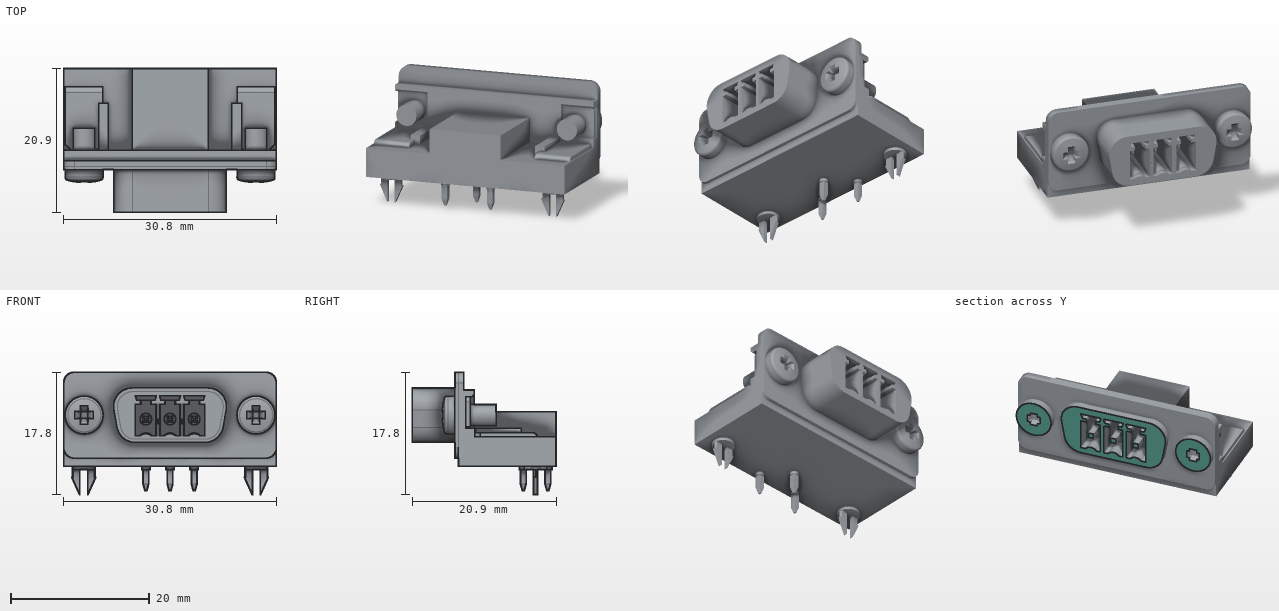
import cadquery as cq
import math


WIDTH = 30.8
HEIGHT = 13.65
OVERALL_DEPTH = 20.86
OVERALL_HEIGHT = 17.75
REAR_Y = 14.14
FLANGE_REAR_Y = 0.8
WALL_REAR_Y = 2.3
WALL_TOP = 11.1
BASE_TOP = 4.28
BLOCK_WIDTH = 11.0
BLOCK_TOP = 7.95
CORNER_RADIUS = 1.5

PLATE_THICKNESS = 0.5
PLATE_BOTTOM = 1.2

SHELL_FRONT_Y = REAR_Y - OVERALL_DEPTH
SHELL_TOP = 11.36
SHELL_BOTTOM = 3.47
SHELL_TOP_CENTRE_X = 5.5
SHELL_RADIUS = 2.68
SHELL_SLANT = math.radians(10)
SHELL_WALL = 0.5

CONTACTS = 3
PITCH = 3.5
CAVITY_REAR_Y = 1.0
CAVITY_WIDTH = 3.1
CAVITY_BOTTOM = 4.44
CAVITY_TOP = 9.0
DIVIDER_STEP = 0.12
DIVIDER_STEP_DEPTH = 0.1
NECK_MOUTH_WIDTH = 1.6
NECK_WIDTH = 1.4
DOVETAIL_REAR_Y = 0.0
DOVETAIL_BOTTOM = 9.58
DOVETAIL_TOP = 10.2
DOVETAIL_BOTTOM_WIDTH = 2.62
DOVETAIL_TOP_WIDTH = 3.05
BUMP_WIDTH = 1.7
BUMP_HEIGHT = 0.41
BUMP_FRONT_HEIGHT = 0.28
MOUTH_LENGTH = 0.8
NOTCH_DEPTH = 0.15
NOTCH_WIDTH = 0.34
NOTCH_BOTTOM = 6.16
NOTCH_TOP = 6.85
CONTACT_Z = 6.85
CONTACT_COLLAR_RADIUS = 0.83
CONTACT_COLLAR_LENGTH = 0.5
CONTACT_LENGTH = 4.5

PIN_SIZE = 0.85
PIN_TIP_SIZE = 0.3
PIN_TIP_LENGTH = 1.0
TAIL_LENGTH = 3.5
TAIL_COLLAR_RADIUS = 0.62
COLLAR_HEIGHT = 0.47
TAIL_REAR_Y = 12.95
TAIL_FRONT_Y = 9.4

SCREW_X = 12.45
SCREW_Z = 7.44
SHANK_RADIUS = 1.56
SHANK_END_Y = 5.45
HEAD_RADIUS = 2.75
HEAD_RIM_LENGTH = 1.05
HEAD_SHOULDER_RADIUS = 2.4
HEAD_SHOULDER_LENGTH = 1.55
HEAD_LENGTH = 1.9
RECESS_SPAN = 2.85
RECESS_ARM_WIDTH = 1.15
RECESS_FLOOR_SPAN = 1.0
RECESS_FLOOR_ARM_WIDTH = 0.9
RECESS_DEPTH = 1.4

POCKET_INNER_X = 10.36
POCKET_FRONT_Y = 1.08
POCKET_BOTTOM = 5.56
POCKET_TOP = 10.1
POCKET_CHAMFER = 0.3
BRACKET_THICKNESS = 0.6
BRACKET_INNER_X = 9.74
BRACKET_OUTER_X = 15.2
BRACKET_REAR_Y = 11.5
BRACKET_BEND_RADIUS = 0.8
BRACKET_CORNER = 0.85
BRACKET_TOP_CORNER = 0.7
BRACKET_LOWER_CORNER = 0.2
LIP_THICKNESS = 0.35
LIP_REAR_Y = 2.37
RIB_INNER_X = 8.95
RIB_REAR_Y = 9.13
STOP_WIDTH = 0.19
STOP_REAR_Y = 2.5

CLIP_X = 12.5
CLIP_Y = 11.17
CLIP_DISC_RADIUS = 1.65
CLIP_THICKNESS = 0.62
CLIP_SLOT = 1.1
CLIP_EDGE_BEVEL = 0.1
BARB_TOP_Z = -1.58
BARB_HALF_WIDTH = 1.74
CLIP_TIP_WIDTH = 0.06
CLIP_END_Z = HEIGHT - OVERALL_HEIGHT


def box(x0, x1, y0, y1, z0, z1):
    return cq.Workplane("XY").box(x1 - x0, y1 - y0, z1 - z0, centered=False).translate((x0, y0, z0))


def front_plane(y):
    """Plane facing -Y, with local x along X and local y along Z."""
    return cq.Workplane("XZ", origin=(0, y, 0))


def both_sides(shape):
    return shape.union(shape.mirror("YZ"))


def make_housing():
    half = WIDTH / 2
    flange = box(-half, half, 0, FLANGE_REAR_Y, 0, HEIGHT).edges("|Y and >Z").fillet(CORNER_RADIUS)
    wall = box(-half, half, 0, WALL_REAR_Y, 0, WALL_TOP)
    base = box(-half, half, 0, REAR_Y, 0, BASE_TOP)
    block = box(-BLOCK_WIDTH / 2, BLOCK_WIDTH / 2, 0, REAR_Y, 0, BLOCK_TOP)
    rib = box(RIB_INNER_X, POCKET_INNER_X, 0, RIB_REAR_Y, 0, POCKET_BOTTOM)
    lip = box(half - LIP_THICKNESS, half, 0, LIP_REAR_Y, 0, POCKET_BOTTOM)
    stop = box(POCKET_INNER_X, POCKET_INNER_X + STOP_WIDTH, 0, STOP_REAR_Y, 0, POCKET_BOTTOM)
    pocket = (
        cq.Workplane("YZ", origin=(POCKET_INNER_X, 0, 0))
        .moveTo(POCKET_FRONT_Y, POCKET_BOTTOM)
        .lineTo(LIP_REAR_Y, POCKET_BOTTOM)
        .lineTo(WALL_REAR_Y, POCKET_TOP + POCKET_CHAMFER)
        .lineTo(WALL_REAR_Y - POCKET_CHAMFER, POCKET_TOP)
        .lineTo(POCKET_FRONT_Y, POCKET_TOP)
        .close()
        .extrude(half - POCKET_INNER_X)
    )
    housing = flange.union(wall).union(base).union(block)
    return housing.cut(both_sides(pocket)).union(both_sides(rib.union(lip).union(stop)))


def make_bracket():
    foot = (
        box(BRACKET_INNER_X, BRACKET_OUTER_X, WALL_REAR_Y, BRACKET_REAR_Y,
            BASE_TOP - BRACKET_THICKNESS, BASE_TOP + BRACKET_THICKNESS)
        .edges(">Y and >Z").fillet(BRACKET_BEND_RADIUS)
        .edges("|Z and >X and <Y").chamfer(BRACKET_CORNER)
    )
    upright = (
        box(POCKET_INNER_X, BRACKET_OUTER_X, POCKET_FRONT_Y, POCKET_FRONT_Y + BRACKET_THICKNESS,
            POCKET_BOTTOM, POCKET_TOP)
        .edges("|Y and >X and >Z").fillet(BRACKET_TOP_CORNER)
        .edges("|Y and >X and <Z").chamfer(BRACKET_LOWER_CORNER)
    )
    return both_sides(foot.union(upright))


def make_plate():
    height = HEIGHT - PLATE_BOTTOM
    return (
        front_plane(0)
        .center(0, PLATE_BOTTOM + height / 2)
        .rect(WIDTH, height)
        .extrude(PLATE_THICKNESS)
        .edges("|Y").fillet(CORNER_RADIUS)
    )


def make_d_prism(inset):
    """D outline, narrower at the bottom, moved inwards by inset; all corner arcs stay concentric."""
    radius = SHELL_RADIUS - inset
    top_z = SHELL_TOP - SHELL_RADIUS
    bottom_z = SHELL_BOTTOM + SHELL_RADIUS
    top_x = SHELL_TOP_CENTRE_X
    bottom_x = top_x - (top_z - bottom_z) * math.tan(SHELL_SLANT)

    def on_arc(side, centre_x, centre_z, angle):
        return (side * (centre_x + radius * math.cos(angle)), centre_z + radius * math.sin(angle))

    up = math.pi / 2
    slant = -SHELL_SLANT
    upper_middle = (up + slant) / 2
    lower_middle = (slant - up) / 2
    return (
        front_plane(0)
        .moveTo(*on_arc(-1, top_x, top_z, up))
        .lineTo(*on_arc(1, top_x, top_z, up))
        .threePointArc(on_arc(1, top_x, top_z, upper_middle), on_arc(1, top_x, top_z, slant))
        .lineTo(*on_arc(1, bottom_x, bottom_z, slant))
        .threePointArc(on_arc(1, bottom_x, bottom_z, lower_middle), on_arc(1, bottom_x, bottom_z, -up))
        .lineTo(*on_arc(-1, bottom_x, bottom_z, -up))
        .threePointArc(on_arc(-1, bottom_x, bottom_z, lower_middle), on_arc(-1, bottom_x, bottom_z, slant))
        .lineTo(*on_arc(-1, top_x, top_z, slant))
        .threePointArc(on_arc(-1, top_x, top_z, upper_middle), on_arc(-1, top_x, top_z, up))
        .close()
        .extrude(-SHELL_FRONT_Y)
    )


def make_floor_bump(x, front_y, height):
    half = BUMP_WIDTH / 2
    return (
        front_plane(CAVITY_REAR_Y)
        .moveTo(x - half, CAVITY_BOTTOM)
        .threePointArc((x, CAVITY_BOTTOM + height), (x + half, CAVITY_BOTTOM))
        .close()
        .extrude(CAVITY_REAR_Y - front_y)
    )


def make_cavity(x, step_left, step_right):
    """Keyed cavity; the walls shared with a neighbouring cavity thicken just behind the mouth."""
    half = CAVITY_WIDTH / 2
    left = x - half + step_left
    right = x + half - step_right
    mouth_end_y = SHELL_FRONT_Y + DIVIDER_STEP_DEPTH
    mouth = box(x - half, x + half, SHELL_FRONT_Y, mouth_end_y, CAVITY_BOTTOM, CAVITY_TOP)
    chamber = box(left, right, SHELL_FRONT_Y, CAVITY_REAR_Y, CAVITY_BOTTOM, CAVITY_TOP)
    neck = box(x - NECK_WIDTH / 2, x + NECK_WIDTH / 2, SHELL_FRONT_Y, CAVITY_REAR_Y,
               CAVITY_TOP, DOVETAIL_BOTTOM)
    neck_mouth = box(x - NECK_MOUTH_WIDTH / 2, x + NECK_MOUTH_WIDTH / 2,
                     SHELL_FRONT_Y, SHELL_FRONT_Y + MOUTH_LENGTH, CAVITY_TOP, DOVETAIL_BOTTOM)
    dovetail = (
        front_plane(DOVETAIL_REAR_Y)
        .polyline([
            (x - DOVETAIL_BOTTOM_WIDTH / 2, DOVETAIL_BOTTOM),
            (x + DOVETAIL_BOTTOM_WIDTH / 2, DOVETAIL_BOTTOM),
            (x + DOVETAIL_TOP_WIDTH / 2, DOVETAIL_TOP),
            (x - DOVETAIL_TOP_WIDTH / 2, DOVETAIL_TOP),
        ])
        .close()
        .extrude(DOVETAIL_REAR_Y - SHELL_FRONT_Y)
    )
    front_bump = make_floor_bump(x, SHELL_FRONT_Y, BUMP_FRONT_HEIGHT)
    main_bump = make_floor_bump(x, SHELL_FRONT_Y + MOUTH_LENGTH, BUMP_HEIGHT)
    opening = mouth.union(chamber).union(neck).union(neck_mouth).union(dovetail)
    return opening.cut(front_bump).cut(main_bump)


def make_divider_notch(x):
    return (
        front_plane(SHELL_FRONT_Y + NOTCH_DEPTH)
        .polyline([(x - NOTCH_WIDTH / 2, NOTCH_BOTTOM), (x + NOTCH_WIDTH / 2, NOTCH_BOTTOM), (x, NOTCH_TOP)])
        .close()
        .extrude(NOTCH_DEPTH)
    )


def make_pin(plane, length):
    """Square pin with a pyramidal tip, growing along the plane's normal."""
    shank_length = length - PIN_TIP_LENGTH
    shank = plane.rect(PIN_SIZE, PIN_SIZE).extrude(shank_length)
    tip = (
        plane.workplane(offset=shank_length)
        .rect(PIN_SIZE, PIN_SIZE)
        .workplane(offset=PIN_TIP_LENGTH)
        .rect(PIN_TIP_SIZE, PIN_TIP_SIZE)
        .loft(combine=False)
    )
    return shank.union(tip)


def make_contact(x):
    plane = front_plane(CAVITY_REAR_Y).center(x, CONTACT_Z)
    collar = plane.circle(CONTACT_COLLAR_RADIUS).extrude(CONTACT_COLLAR_LENGTH)
    return collar.union(make_pin(plane, CONTACT_LENGTH))


def make_tail(x, y):
    plane = cq.Workplane("XY").transformed(rotate=(180, 0, 0), offset=(x, y, 0))
    collar = plane.circle(TAIL_COLLAR_RADIUS).extrude(COLLAR_HEIGHT)
    return collar.union(make_pin(plane, TAIL_LENGTH))


def make_screw(x):
    head_y = -PLATE_THICKNESS
    shank = front_plane(SHANK_END_Y).center(x, SCREW_Z).circle(SHANK_RADIUS).extrude(SHANK_END_Y)
    dome_middle_radius = HEAD_SHOULDER_RADIUS / 2
    dome_middle = HEAD_LENGTH - (HEAD_LENGTH - HEAD_SHOULDER_LENGTH) / 4
    rim_bulge = math.sqrt(0.5)
    rim_middle = (
        HEAD_SHOULDER_RADIUS + (HEAD_RADIUS - HEAD_SHOULDER_RADIUS) * rim_bulge,
        HEAD_RIM_LENGTH + (HEAD_SHOULDER_LENGTH - HEAD_RIM_LENGTH) * rim_bulge,
    )
    head = (
        cq.Workplane("XY")
        .moveTo(0, 0)
        .lineTo(HEAD_RADIUS, 0)
        .lineTo(HEAD_RADIUS, HEAD_RIM_LENGTH)
        .threePointArc(rim_middle, (HEAD_SHOULDER_RADIUS, HEAD_SHOULDER_LENGTH))
        .threePointArc((dome_middle_radius, dome_middle), (0, HEAD_LENGTH))
        .close()
        .revolve(360, (0, 0, 0), (0, 1, 0))
        .rotate((0, 0, 0), (0, 0, 1), 180)
        .translate((x, head_y, SCREW_Z))
    )

    def recess_arm(span_x, span_z, floor_x, floor_z):
        return (
            front_plane(head_y - HEAD_LENGTH + RECESS_DEPTH)
            .center(x, SCREW_Z)
            .rect(floor_x, floor_z)
            .workplane(offset=RECESS_DEPTH)
            .rect(span_x, span_z)
            .loft()
        )

    across = recess_arm(RECESS_SPAN, RECESS_ARM_WIDTH, RECESS_FLOOR_SPAN, RECESS_FLOOR_ARM_WIDTH)
    upright = recess_arm(RECESS_ARM_WIDTH, RECESS_SPAN, RECESS_FLOOR_ARM_WIDTH, RECESS_FLOOR_SPAN)
    return head.union(shank).cut(across).cut(upright)


def make_clip():
    """Split snap clip: a disc carrying two barbed legs whose upper outer edges form a shallow ridge."""
    half_thickness = CLIP_THICKNESS / 2
    inner = CLIP_SLOT / 2
    outer = CLIP_DISC_RADIUS
    disc = cq.Workplane("XY").circle(outer).extrude(-COLLAR_HEIGHT)
    stem = (
        cq.Workplane("XY")
        .polyline([
            (inner, -half_thickness),
            (outer - CLIP_EDGE_BEVEL, -half_thickness),
            (outer, 0),
            (outer - CLIP_EDGE_BEVEL, half_thickness),
            (inner, half_thickness),
        ])
        .close()
        .extrude(BARB_TOP_Z)
    )
    barb = (
        front_plane(half_thickness)
        .polyline([
            (inner, BARB_TOP_Z),
            (BARB_HALF_WIDTH, BARB_TOP_Z),
            (inner + CLIP_TIP_WIDTH, CLIP_END_Z),
            (inner, CLIP_END_Z),
        ])
        .close()
        .extrude(CLIP_THICKNESS)
    )
    return disc.union(both_sides(stem.union(barb))).translate((CLIP_X, CLIP_Y, 0))


part = make_housing().union(make_bracket()).union(both_sides(make_clip()))
for screw_x in (-SCREW_X, SCREW_X):
    part = part.union(make_screw(screw_x))

insert = make_d_prism(SHELL_WALL)
shell = make_d_prism(0).cut(insert)

last = CONTACTS - 1
for index in range(CONTACTS):
    contact_x = (index - last / 2) * PITCH
    step_left = DIVIDER_STEP if index > 0 else 0
    step_right = DIVIDER_STEP if index < last else 0
    cavity = make_cavity(contact_x, step_left, step_right)
    insert = insert.cut(cavity)
    if index < last:
        insert = insert.cut(make_divider_notch(contact_x + PITCH / 2))
    part = part.cut(cavity).union(make_contact(contact_x))
    tail_y = TAIL_FRONT_Y if index % 2 else TAIL_REAR_Y
    part = part.union(make_tail(contact_x, tail_y))

plate = make_plate().cut(make_d_prism(0))

result = part.union(plate, clean=False).union(insert, clean=False).union(shell, clean=False)